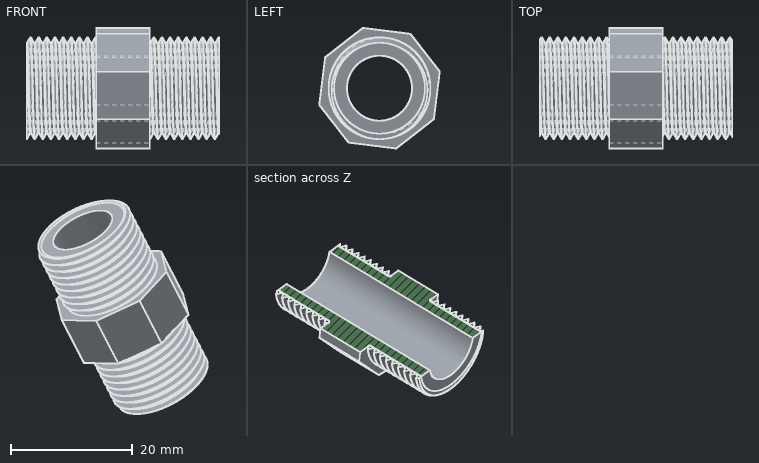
import cadquery as cq
import math

total_length = 31.7
nut_length = 8.8
nut_across_flats = 19.02
nut_tilt = 7.1
bore_diameter = 10.65
end_length = (total_length - nut_length) / 2

root_diameter = 14.93
crest_diameter = 16.75
counted_turns = 8
counted_turns_length = 10.68
pitch = counted_turns_length / counted_turns
ridge_base_width = 1.15
ridge_crest_width = 0.1
root_radius = root_diameter / 2
crest_radius = crest_diameter / 2
overlap = 0.05


def make_body():
    """Octagonal nut with a plain spigot on each side, bored through."""
    nut_sides = 8
    nut_across_corners = nut_across_flats / math.cos(math.pi / nut_sides)
    corner_turn = nut_tilt + 180 / nut_sides
    nut = (
        cq.Workplane("YZ", origin=(end_length, 0, 0))
        .polygon(nut_sides, nut_across_corners)
        .extrude(nut_length)
        .rotate((0, 0, 0), (1, 0, 0), corner_turn)
    )
    spigots = cq.Workplane("YZ").circle(root_radius).extrude(total_length)
    bore = cq.Workplane("YZ").circle(bore_diameter / 2).extrude(total_length)
    return nut.union(spigots).cut(bore)


def make_thread(start_x):
    """Right-hand helical ridge on one spigot, trimmed flat at both ends."""
    flank_slope = (ridge_base_width - ridge_crest_width) / 2 / (crest_radius - root_radius)
    half_base = ridge_base_width / 2 + overlap * flank_slope
    half_crest = ridge_crest_width / 2
    inner_radius = root_radius - overlap

    extra_turns = 2
    turns = math.ceil(end_length / pitch) + extra_turns
    path = cq.Wire.makeHelix(pitch, turns * pitch, root_radius)
    ridge = (
        cq.Workplane("XZ")
        .polyline([
            (inner_radius, -half_base),
            (crest_radius, -half_crest),
            (crest_radius, half_crest),
            (inner_radius, half_base),
        ])
        .close()
        .sweep(cq.Workplane(path), isFrenet=True)
        .translate((0, 0, -pitch))
    )
    ridge = ridge.rotate((0, 0, 0), (0, 1, 0), 90).translate((start_x, 0, 0))
    sleeve = (
        cq.Workplane("YZ", origin=(start_x, 0, 0))
        .circle(crest_radius + overlap)
        .circle(root_radius)
        .extrude(end_length)
    )
    return ridge.intersect(sleeve).solids()


body = make_body()
threads = [make_thread(start_x) for start_x in (0, end_length + nut_length)]

result = cq.Compound.makeCompound([body.val(), *[thread.val() for thread in threads]])